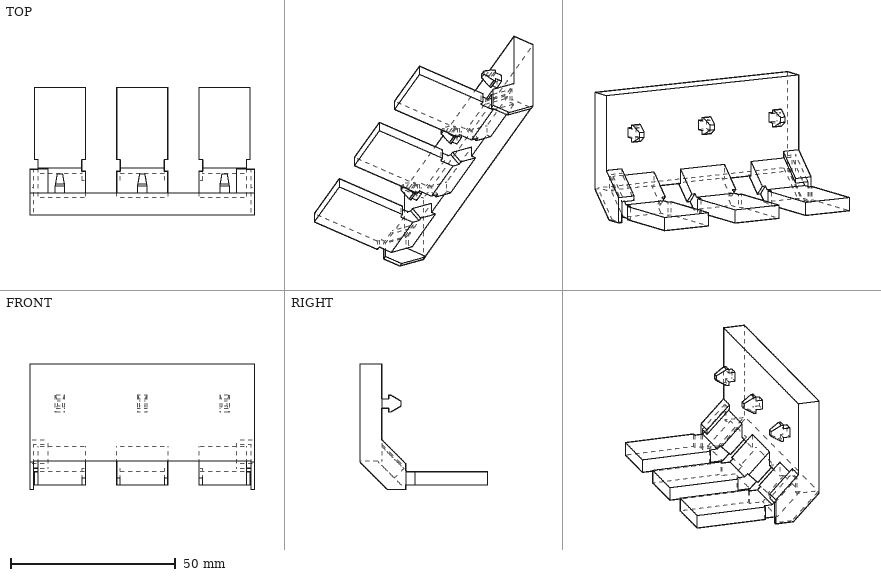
import cadquery as cq
import math

width = 68.3
depth = 38.8
height = 38.2

plate_thickness = 6.7
plate_bottom = 8.6

cheek_thickness = 1.15
cheek_depth = 13.95
cheek_chamfer = 8.3
cheek_slope_top = 15.1
flange_width = 5.5
flange_thickness = 1.0

arm_count = 3
arm_pitch = 25.0
arm_width = 15.6
arm_thickness = 4.1
arm_bottom = 1.35
bend_top_y = 14.3

notch_depth = 1.1
notch_end_y = 16.8
notch_start_y = 13.35

pin_z = 26.1
stem_size = 2.9
stem_length = 2.05
barb_length = 3.75
barb_land = 0.65
barb_height = 5.2
barb_tip_height = 1.55
barb_tip_width = 1.6

left_end = -width / 2
arm_top = arm_bottom + arm_thickness
slope_offset = arm_thickness * math.sqrt(2)
slope_top_sum = bend_top_y + arm_top
slope_bottom_sum = slope_top_sum - slope_offset
arm_centers = [(i - (arm_count - 1) / 2) * arm_pitch for i in range(arm_count)]


def extrude_profile(points, x_start, x_length):
    """Extrude a closed outline of (Y, Z) points along +X from x_start."""
    return cq.Workplane("YZ", origin=(x_start, 0, 0)).polyline(points).close().extrude(x_length)


def make_plate():
    size_z = height - plate_bottom
    return cq.Workplane("XY", origin=(0, 0, plate_bottom)).box(
        width, plate_thickness, size_z, centered=(True, False, False)
    )


def make_left_cheek():
    slope_end_z = cheek_slope_top - (cheek_depth - plate_thickness)
    wall = extrude_profile(
        [
            (0, height),
            (0, cheek_chamfer),
            (cheek_chamfer, 0),
            (cheek_depth, 0),
            (cheek_depth, slope_end_z),
            (plate_thickness, cheek_slope_top),
            (plate_thickness, height),
        ],
        left_end,
        cheek_thickness,
    )
    flange_drop = flange_thickness * math.sqrt(2)
    flange = extrude_profile(
        [
            (plate_thickness, cheek_slope_top),
            (cheek_depth, slope_end_z),
            (cheek_depth, slope_end_z - flange_drop),
            (plate_thickness, cheek_slope_top - flange_drop),
        ],
        left_end,
        flange_width,
    )
    return wall.union(flange)


def make_arm(x_center):
    arm = extrude_profile(
        [
            (slope_bottom_sum - plate_bottom, plate_bottom),
            (slope_bottom_sum - arm_bottom, arm_bottom),
            (depth, arm_bottom),
            (depth, arm_top),
            (bend_top_y, arm_top),
            (plate_thickness, slope_top_sum - plate_thickness),
            (plate_thickness, plate_bottom),
        ],
        x_center - arm_width / 2,
        arm_width,
    )
    notch_start_z = slope_top_sum - notch_start_y
    notch_run = slope_offset / 2
    notch_outline = [
        (notch_start_y, notch_start_z),
        (notch_start_y - notch_run, notch_start_z - notch_run),
        (notch_start_y - notch_run, arm_bottom),
        (notch_end_y, arm_bottom),
        (notch_end_y, notch_start_z),
    ]
    for notch_x in (x_center - arm_width / 2, x_center + arm_width / 2 - notch_depth):
        arm = arm.cut(extrude_profile(notch_outline, notch_x, notch_depth))
    return arm


def make_flange_clearance():
    """Strip removed from the outer edge of the left arm, so that the flange clears the arm."""
    arm_edge = arm_centers[0] - arm_width / 2
    return cq.Workplane("XY", origin=(arm_edge, 0, 0)).box(
        notch_depth, notch_end_y, height, centered=False
    )


def make_pin(x_center):
    barb_start = plate_thickness + stem_length
    barb_end = barb_start + barb_length
    stem = cq.Workplane("XY", origin=(x_center, plate_thickness, pin_z)).box(
        stem_size, stem_length, stem_size, centered=(True, False, True)
    )
    side_outline = [
        (barb_start, pin_z - barb_height / 2),
        (barb_start + barb_land, pin_z - barb_height / 2),
        (barb_end, pin_z - barb_tip_height / 2),
        (barb_end, pin_z + barb_tip_height / 2),
        (barb_start + barb_land, pin_z + barb_height / 2),
        (barb_start, pin_z + barb_height / 2),
    ]
    plan_outline = [
        (x_center - stem_size / 2, barb_start),
        (x_center + stem_size / 2, barb_start),
        (x_center + barb_tip_width / 2, barb_end),
        (x_center - barb_tip_width / 2, barb_end),
    ]
    side_taper = cq.Workplane("XY").polyline(plan_outline).close().extrude(height)
    barb = extrude_profile(side_outline, x_center - stem_size / 2, stem_size).intersect(side_taper)
    return stem.union(barb)


left_cheek = make_left_cheek()
left_clearance = make_flange_clearance()

arms = make_arm(arm_centers[0])
for center in arm_centers[1:]:
    arms = arms.union(make_arm(center))
arms = arms.cut(left_clearance).cut(left_clearance.mirror("YZ"))

result = make_plate().union(arms).union(left_cheek).union(left_cheek.mirror("YZ"))
for center in arm_centers:
    result = result.union(make_pin(center))